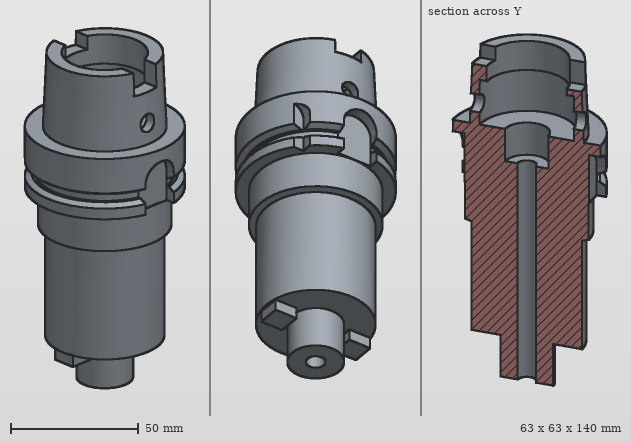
import cadquery as cq

total_height = 140.0

shank_height = 31.8
shank_top_radius = 23.0
shank_base_radius = 24.4
bore_radius = 17.0
bore_lip_depth = 12.6
undercut_radius = 19.9
pilot_radius = 9.1
pilot_depth = 14.0
coolant_radius = 3.9
drive_slot_width = 12.3
shallow_slot_depth = 5.9
deep_slot_depth = 9.8
cross_hole_radius = 3.8
cross_hole_depth = 22.8

flange_radius = 31.5
upper_flange_height = 14.8
groove_chamfer_height = 1.5
groove_radius = 27.6
groove_ledge_radius = 28.8
groove_floor_height = 3.5
lower_rim_height = 4.6

collar_radius = 26.3
collar_height = 16.1
shoulder_height = 0.8
body_radius = 23.5
spigot_radius = 11.2
spigot_height = 18.0
key_width = 9.8
key_height = 5.0
key_inner = 12.7
key_outer = 22.7

notch_top_drop = 5.2
side_notch_radius = 7.8
side_notch_floor = 26.5
corner_notch_radius = 5.3
corner_notch_floor = 19.9

flange_top = total_height - shank_height
groove_top = flange_top - upper_flange_height
groove_floor_top = groove_top - groove_chamfer_height
groove_floor_bottom = groove_floor_top - groove_floor_height
groove_bottom = groove_floor_bottom - groove_chamfer_height
flange_bottom = groove_bottom - lower_rim_height
collar_bottom = flange_bottom - collar_height
bore_floor = flange_top


def revolved_body():
    """Solid of revolution from the spigot up to the shank."""
    profile = [
        (0, 0),
        (spigot_radius, 0),
        (spigot_radius, spigot_height),
        (body_radius, spigot_height),
        (body_radius, collar_bottom - shoulder_height),
        (collar_radius, collar_bottom),
        (collar_radius, flange_bottom),
        (flange_radius, flange_bottom),
        (flange_radius, groove_bottom),
        (groove_ledge_radius, groove_floor_bottom),
        (groove_radius, groove_floor_bottom),
        (groove_radius, groove_floor_top),
        (groove_ledge_radius, groove_floor_top),
        (flange_radius, groove_top),
        (flange_radius, flange_top),
        (shank_base_radius, flange_top),
        (shank_top_radius, total_height),
        (0, total_height),
    ]
    return cq.Workplane("XZ").polyline(profile).close().revolve(360, (0, 0), (0, 1))


def stepped_bore():
    """Lipped bore with undercut, pilot recess and coolant hole through the axis."""
    lip_bottom = total_height - bore_lip_depth
    pilot_floor = bore_floor - pilot_depth
    profile = [
        (0, 0),
        (coolant_radius, 0),
        (coolant_radius, pilot_floor),
        (pilot_radius, pilot_floor),
        (pilot_radius, bore_floor),
        (undercut_radius, bore_floor),
        (undercut_radius, lip_bottom),
        (bore_radius, lip_bottom),
        (bore_radius, total_height),
        (0, total_height),
    ]
    return cq.Workplane("XZ").polyline(profile).close().revolve(360, (0, 0), (0, 1))


def drive_slot(side, depth):
    """Slot through the shank wall, open at the top, on the +X (1) or -X (-1) side."""
    return (
        cq.Workplane("XY", origin=(side * flange_radius / 2, 0, total_height))
        .rect(flange_radius, drive_slot_width)
        .extrude(-depth)
    )


def cross_hole():
    """Hole along X through both shank walls."""
    return (
        cq.Workplane("YZ")
        .center(0, total_height - cross_hole_depth)
        .circle(cross_hole_radius)
        .extrude(flange_radius, both=True)
    )


def flange_notch(center_y, radius, floor):
    """Round-topped notch milled along X into the -X side, down to the plane X = -floor."""
    arc_top = flange_top - notch_top_drop
    spring_line = arc_top - radius
    return (
        cq.Workplane("YZ", origin=(-flange_radius, center_y, 0))
        .moveTo(-radius, flange_bottom)
        .lineTo(-radius, spring_line)
        .threePointArc((0, arc_top), (radius, spring_line))
        .lineTo(radius, flange_bottom)
        .close()
        .extrude(flange_radius - floor)
    )


def driving_key(side):
    """Rectangular key under the body on the +Y (1) or -Y (-1) side."""
    return (
        cq.Workplane("XY", origin=(0, side * (key_inner + key_outer) / 2, spigot_height))
        .rect(key_width, key_outer - key_inner)
        .extrude(-key_height)
    )


result = revolved_body()
for key_side in (-1, 1):
    result = result.union(driving_key(key_side))

result = result.cut(stepped_bore()).cut(cross_hole())
result = result.cut(drive_slot(-1, shallow_slot_depth)).cut(drive_slot(1, deep_slot_depth))

side_notch = flange_notch(0, side_notch_radius, side_notch_floor)
result = result.cut(side_notch).cut(side_notch.mirror("YZ"))

corner_notch_center_y = corner_notch_floor + corner_notch_radius
result = result.cut(flange_notch(corner_notch_center_y, corner_notch_radius, corner_notch_floor))